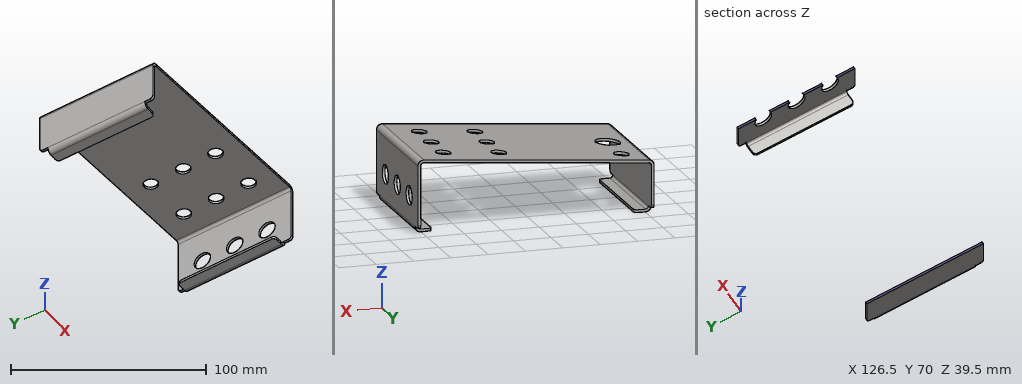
import cadquery as cq
import math

length = 126.5
width = 70.0
thickness = 1.5
inner_bend_radius = 1.5
outer_bend_radius = inner_bend_radius + thickness
slope_angle = 5.0
low_bend_height = 25.99

flange_length = 9.0
flange_width = 60.0
corner_radius = 2.0

hole_row_pitch = 20.0
hole_rows = (-1, 0, 1)

small_hole_diameter = 8.0
large_hole_diameter = 13.0
grid_hole_columns = (15.2, 45.0)
low_end_hole_x = -49.5
small_low_end_hole_y = 23.0

wall_hole_diameter = 10.0
wall_hole_height = 17.0

half_length = length / 2
half_width = width / 2
bend_axis_x = half_length - outer_bend_radius
slope = math.tan(math.radians(slope_angle))
high_bend_height = low_bend_height + 2 * bend_axis_x * slope
wall_bottom = outer_bend_radius
flange_tip_x = half_length - flange_length


def bend_point(axis_x, axis_z, radius, angle):
    """Point on a bend, with the angle in degrees from +X toward +Z."""
    turn = math.radians(angle)
    return (axis_x + radius * math.cos(turn), axis_z + radius * math.sin(turn))


def top_face_height(x):
    """Height of the sloped upper face above the underside."""
    face_rise = outer_bend_radius / math.cos(math.radians(slope_angle))
    return low_bend_height + face_rise + (x + bend_axis_x) * slope


def top_and_walls():
    """Sloped top with both walls, down to where the flange bends start."""
    normal_angle = 90 + slope_angle
    low = (-bend_axis_x, low_bend_height)
    high = (bend_axis_x, high_bend_height)
    low_middle = (180 + normal_angle) / 2
    high_middle = normal_angle / 2
    inner_x = half_length - thickness
    profile = (
        cq.Workplane("XZ", origin=(0, half_width, 0))
        .moveTo(-half_length, wall_bottom)
        .lineTo(-half_length, low_bend_height)
        .threePointArc(
            bend_point(*low, outer_bend_radius, low_middle),
            bend_point(*low, outer_bend_radius, normal_angle),
        )
        .lineTo(*bend_point(*high, outer_bend_radius, normal_angle))
        .threePointArc(
            bend_point(*high, outer_bend_radius, high_middle),
            (half_length, high_bend_height),
        )
        .lineTo(half_length, wall_bottom)
        .lineTo(inner_x, wall_bottom)
        .lineTo(inner_x, high_bend_height)
        .threePointArc(
            bend_point(*high, inner_bend_radius, high_middle),
            bend_point(*high, inner_bend_radius, normal_angle),
        )
        .lineTo(*bend_point(*low, inner_bend_radius, normal_angle))
        .threePointArc(
            bend_point(*low, inner_bend_radius, low_middle),
            (-inner_x, low_bend_height),
        )
        .lineTo(-inner_x, wall_bottom)
        .close()
    )
    sheet = profile.extrude(width)
    wall_corners = cq.selectors.BoxSelector(
        (-length, -width, wall_bottom - thickness),
        (length, width, wall_bottom + thickness),
    )
    return sheet.edges(wall_corners).edges("|X").fillet(corner_radius)


def high_side_flange():
    """Flange under the high wall, with its bend and rounded tip corners."""
    axis = (bend_axis_x, wall_bottom)
    bend_middle = -45
    flange = (
        cq.Workplane("XZ", origin=(0, flange_width / 2, 0))
        .moveTo(half_length, wall_bottom)
        .threePointArc(bend_point(*axis, outer_bend_radius, bend_middle), (bend_axis_x, 0))
        .lineTo(flange_tip_x, 0)
        .lineTo(flange_tip_x, thickness)
        .lineTo(bend_axis_x, thickness)
        .threePointArc(
            bend_point(*axis, inner_bend_radius, bend_middle),
            (half_length - thickness, wall_bottom),
        )
        .close()
        .extrude(flange_width)
    )
    return flange.edges("|Z").edges("<X").fillet(corner_radius)


def top_hole(x, y, diameter):
    """Cutter through the sloped top, square to its faces."""
    angle = math.radians(slope_angle)
    normal = cq.Vector(-math.sin(angle), 0, math.cos(angle))
    center = cq.Vector(x, y, top_face_height(x))
    start = center + normal * thickness
    return cq.Solid.makeCylinder(diameter / 2, 3 * thickness, start, -normal)


def high_wall_hole(y):
    """Cutter through the high wall."""
    start = cq.Vector(half_length - 2 * thickness, y, wall_hole_height)
    return cq.Solid.makeCylinder(wall_hole_diameter / 2, 3 * thickness, start, cq.Vector(1, 0, 0))


flange = high_side_flange()
result = top_and_walls().union(flange).union(flange.mirror("YZ"))

for row in hole_rows:
    row_y = row * hole_row_pitch
    for column_x in grid_hole_columns:
        result = result.cut(top_hole(column_x, row_y, small_hole_diameter))
    result = result.cut(high_wall_hole(row_y))

result = result.cut(top_hole(low_end_hole_x, small_low_end_hole_y, small_hole_diameter))
result = result.cut(top_hole(low_end_hole_x, 0, large_hole_diameter))